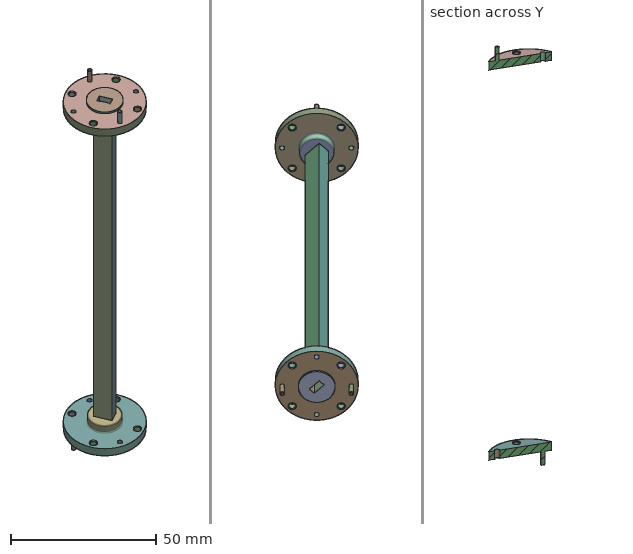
import cadquery as cq
import math

overall_length = 161.04
face_to_face = 152.4

flange_diameter = 28.57
flange_thickness = 3.3
contact_diameter = 12.7
contact_height = 0.76
collar_diameter = 11.89
collar_length = 3.1
collar_fillet = 0.25

bore_width = 4.775
bore_height = 2.388
tube_wall = 1.016
tube_width = bore_width + 2 * tube_wall
tube_height = bore_height + 2 * tube_wall

bolt_circle_radius = 23.81 / 2
screw_hole_diameter = 2.26
countersink_diameter = 2.85
countersink_depth = (countersink_diameter - screw_hole_diameter) / 2
dowel_hole_diameter = 1.7
pin_diameter = 1.56
pin_tip_chamfer = 0.25

contact_z = face_to_face / 2
flange_outer_z = contact_z - contact_height
flange_inner_z = flange_outer_z - flange_thickness
collar_inner_z = flange_inner_z - collar_length
pin_tip_z = overall_length / 2

screw_angles = (0, 90, 180, 270)
dowel_hole_angles = (45, 225)
pin_angles = (135, 315)


def circle_points(angles):
    """Points on the bolt circle at the given angles in degrees."""
    return [
        (
            bolt_circle_radius * math.cos(math.radians(angle)),
            bolt_circle_radius * math.sin(math.radians(angle)),
        )
        for angle in angles
    ]


def cylinders(diameter, bottom_z, top_z, points):
    """Upright cylinders of one size at the given XY points."""
    plane = cq.Workplane("XY").workplane(offset=bottom_z)
    return plane.pushPoints(points).circle(diameter / 2).extrude(top_z - bottom_z)


def countersinks(face_z, direction):
    """Conical hole mouths that start at face_z and narrow along direction (+1 or -1)."""
    cone = cq.Solid.makeCone(
        countersink_diameter / 2,
        screw_hole_diameter / 2,
        countersink_depth,
        cq.Vector(0, 0, face_z),
        cq.Vector(0, 0, direction),
    )
    cones = cq.Workplane("XY").pushPoints(circle_points(screw_angles))
    return cones.eachpoint(lambda location: cone.moved(location))


def flange_blank():
    """Turned flange: collar with a rounded edge and foot, disc and contact face."""
    collar_radius = collar_diameter / 2
    flange_radius = flange_diameter / 2
    contact_radius = contact_diameter / 2
    return (
        cq.Workplane("XZ")
        .moveTo(0, collar_inner_z)
        .lineTo(collar_radius - collar_fillet, collar_inner_z)
        .tangentArcPoint((collar_radius, collar_inner_z + collar_fillet), relative=False)
        .lineTo(collar_radius, flange_inner_z - collar_fillet)
        .tangentArcPoint((collar_radius + collar_fillet, flange_inner_z), relative=False)
        .lineTo(flange_radius, flange_inner_z)
        .lineTo(flange_radius, flange_outer_z)
        .lineTo(contact_radius, flange_outer_z)
        .lineTo(contact_radius, contact_z)
        .lineTo(0, contact_z)
        .close()
        .revolve(360, (0, 0, 0), (0, 1, 0))
    )


def upper_flange():
    """Flange at the +Z end with collar, contact face, holes and dowel pins."""
    flange = flange_blank()

    screw_points = circle_points(screw_angles)
    flange = flange.cut(cylinders(screw_hole_diameter, flange_inner_z, flange_outer_z, screw_points))
    flange = flange.cut(countersinks(flange_outer_z, -1))
    flange = flange.cut(countersinks(flange_inner_z, 1))

    dowel_points = circle_points(dowel_hole_angles)
    flange = flange.cut(cylinders(dowel_hole_diameter, flange_inner_z, flange_outer_z, dowel_points))

    pins = cylinders(pin_diameter, flange_inner_z, pin_tip_z, circle_points(pin_angles))
    return flange.union(pins.faces(">Z").chamfer(pin_tip_chamfer))


def lower_flange():
    """The upper flange turned half a turn about X, which swaps the pin diagonal."""
    return upper_flange().rotate((0, 0, 0), (1, 0, 0), 180)


tube = cq.Workplane("XY").box(tube_width, tube_height, 2 * flange_inner_z)
bore = cq.Workplane("XY").box(bore_width, bore_height, face_to_face)

result = tube.union(upper_flange()).union(lower_flange()).cut(bore)